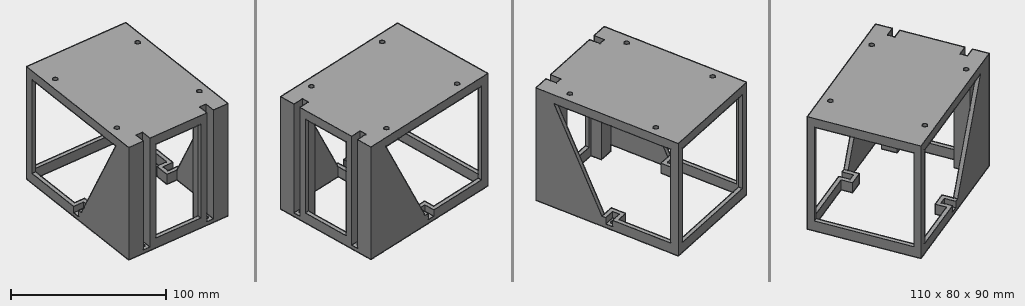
import cadquery as cq

LENGTH = 110.0
WIDTH = 80.0
HEIGHT = 90.0

WALL = 3.0
TOP_THICKNESS = 7.0
SILL_HEIGHT = 8.0
WINDOW_TOP = HEIGHT - TOP_THICKNESS
WINDOW_HEIGHT = WINDOW_TOP - SILL_HEIGHT

SIDE_JAMB = 6.0
SIDE_WINDOW_BOTTOM_END = 59.0
SIDE_WINDOW_TOP_END = 95.9

LOW_X_END_JAMB = 5.1
HIGH_X_END_JAMB = 22.0

SLOT_WIDTH = 5.2
SLOT_DEPTH = 8.0
SLOT_FLOOR = WALL
HOUSING_WALL = WALL
HOUSING_WIDTH = SLOT_WIDTH + 2 * HOUSING_WALL
HOUSING_DEPTH = SLOT_DEPTH + HOUSING_WALL
SCREW_DIAMETER = 2.5
SIDE_SLOT_X = SIDE_WINDOW_BOTTOM_END - HOUSING_WIDTH / 2
END_SLOT_SPACING = 51.0

MOUNT_DIAMETER = 3.5
MOUNT_SPACING = 66.3

MID_X = LENGTH / 2
MID_Y = WIDTH / 2


def box(x, y, z, length, width, height):
    """Box whose lowest corner is at (x, y, z)."""
    return cq.Workplane("XY").box(length, width, height, centered=False).translate((x, y, z))


def vertical_hole(x, y, diameter, height):
    """Cylinder that stands on the base plane at (x, y)."""
    return cq.Workplane("XY").center(x, y).circle(diameter / 2).extrude(height)


def hollow_frame():
    """Four walls under a top plate, open at the bottom, with a window in every wall."""
    frame = box(0, 0, 0, LENGTH, WIDTH, HEIGHT)
    frame = frame.cut(box(WALL, WALL, 0, LENGTH - 2 * WALL, WIDTH - 2 * WALL, WINDOW_TOP))

    side_window = (
        cq.Workplane("XZ")
        .polyline([
            (SIDE_JAMB, SILL_HEIGHT),
            (SIDE_WINDOW_BOTTOM_END, SILL_HEIGHT),
            (SIDE_WINDOW_TOP_END, WINDOW_TOP),
            (SIDE_JAMB, WINDOW_TOP),
        ])
        .close()
        .extrude(-WIDTH)
    )
    frame = frame.cut(side_window)

    for wall_x, jamb in ((0, LOW_X_END_JAMB), (LENGTH - WALL, HIGH_X_END_JAMB)):
        window_width = WIDTH - 2 * jamb
        frame = frame.cut(box(wall_x, jamb, SILL_HEIGHT, WALL, window_width, WINDOW_HEIGHT))
    return frame


def add_screw_slot(body, x, y, outward, height):
    """Housing and open slot at wall point (x, y); outward is the unit direction out of the wall."""
    out_x, out_y = outward

    def wall_block(width, depth, bottom):
        """Block from bottom to height, reaching depth inward from the wall face."""
        size_x = depth if out_x else width
        size_y = depth if out_y else width
        corner_x = x - out_x * depth / 2 - size_x / 2
        corner_y = y - out_y * depth / 2 - size_y / 2
        return box(corner_x, corner_y, bottom, size_x, size_y, height - bottom)

    screw_x = x - out_x * SLOT_DEPTH / 2
    screw_y = y - out_y * SLOT_DEPTH / 2
    screw_hole = vertical_hole(screw_x, screw_y, SCREW_DIAMETER, SLOT_FLOOR)
    body = body.union(wall_block(HOUSING_WIDTH, HOUSING_DEPTH, 0))
    body = body.cut(wall_block(SLOT_WIDTH, SLOT_DEPTH, SLOT_FLOOR))
    return body.cut(screw_hole)


result = hollow_frame()

result = add_screw_slot(result, SIDE_SLOT_X, 0, (0, -1), SILL_HEIGHT)
result = add_screw_slot(result, SIDE_SLOT_X, WIDTH, (0, 1), SILL_HEIGHT)

for side in (-1, 1):
    slot_y = MID_Y + side * END_SLOT_SPACING / 2
    result = add_screw_slot(result, LENGTH, slot_y, (1, 0), HEIGHT)

for side_x in (-1, 1):
    for side_y in (-1, 1):
        hole_x = MID_X + side_x * MOUNT_SPACING / 2
        hole_y = MID_Y + side_y * MOUNT_SPACING / 2
        hole = vertical_hole(hole_x, hole_y, MOUNT_DIAMETER, HEIGHT)
        result = result.cut(hole)